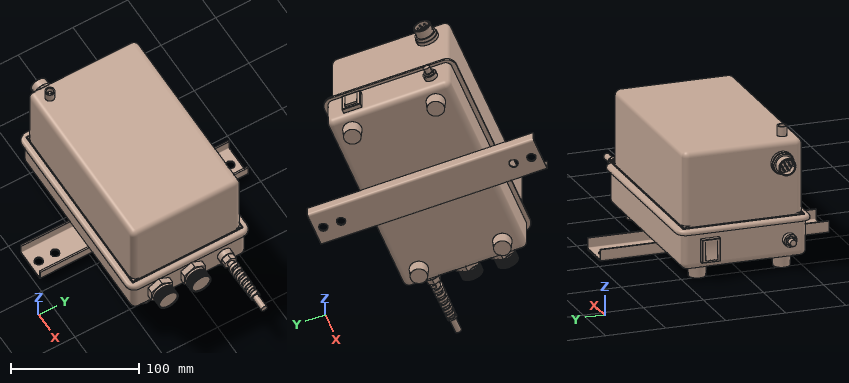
import cadquery as cq
import math

BOTTOM_Z = 10.0
BASE_LENGTH = 166.4
BASE_WIDTH = 103.5
FLANGE_LENGTH = 171.0
FLANGE_WIDTH = 111.0
FLANGE_CORNER = 8.0
FLANGE_Z = 39.8
FLANGE_TOP_Z = 43.4
FLANGE_ROUND = 2.4
CAP_LENGTH = 159.0
CAP_WIDTH = 99.3
CAP_TOP_Z = 106.5
WALL_CORNER = 5.0
SEAT_MARGIN = 0.7
SEAT_TOP_Z = 44.0
FLARE_TOP_Z = 45.3

FOOT_X = 70.0
FOOT_Y = 35.0
FOOT_TOP_DIAMETER = 15.2
FOOT_BOTTOM_DIAMETER = 13.7

SOCKET_X = -66.8
SOCKET_Y = -36.7
SOCKET_TOP_Z = 114.5
SOCKET_DIAMETER = 7.8
SOCKET_BORE = 5.7
SOCKET_DEPTH = 4.7
CONTACT_DIAMETER = 2.4
CONTACT_LENGTH = 2.8

PLUG_Y = -32.0
PLUG_Z = 88.6
PLUG_END_X = -92.2
COLLAR_END_X = -84.8
RING_END_X = -82.2
RING_DIAMETER = 18.2
COLLAR_DIAMETER = 16.8
SHELL_DIAMETER = 14.2
SHELL_BORE = 11.8
SHELL_DEPTH = 5.7
SHELL_CHAMFER = 0.5
KEY_WIDTH = 1.2
KEY_DEPTH = 1.7
PIN_COUNT = 6
PIN_CIRCLE_RADIUS = 3.5
PIN_DIAMETER = 1.2
PIN_LENGTH = 4.7

PORT_Z = 25.4

JACK_Y = -36.5
JACK_END_X = -93.4
JACK_NUT_X = -88.6
JACK_DISC_X = -87.0
JACK_DISC_DIAMETER = 10.7
JACK_NUT_RADIUS = 4.3
JACK_TIP_DIAMETER = 5.5

SWITCH_Y = 29.5
BEZEL_WIDTH = 15.2
BEZEL_HEIGHT = 19.2
BEZEL_X = -87.0
BEZEL_CHAMFER = 0.5
ROCKER_WIDTH = 10.0
ROCKER_HEIGHT = 14.7
ROCKER_RISE = 1.7
ROCKER_SAG = 0.7

THREAD_PORT_Y = (1.5, -28.5)
NUT_END_X = 88.5
NUT_RADIUS = 11.1
THREAD_END_X = 98.4
THREAD_DIAMETER = 17.5
THREAD_DEPTH = 0.7
THREAD_GROOVES = 8
THREAD_COLLAR = 2.0

CABLE_Y = 31.3
GLAND_DISC_DIAMETER = 12.3
GLAND_NUT_END_X = 93.4
GLAND_NUT_RADIUS = 6.0
CABLE_END_X = 143.6
CABLE_DIAMETER = 5.5
RELIEF_CORE_DIAMETER = 6.2
RELIEF_START_RADIUS = 4.7
RELIEF_END_RADIUS = 4.0
RELIEF_PITCH = 5.0
RELIEF_TURNS = 7
COIL_WIDTH = 2.5
COIL_OVERLAP = 0.5
RELIEF_RING_X = 129.2
RELIEF_RING_END_X = 130.5

RAIL_X = -0.2
RAIL_LENGTH = 190.0
RAIL_WIDTH = 30.0
RAIL_THICKNESS = 1.5
RAIL_BEND = 2.1
RAIL_HOLE_DIAMETER = 7.0
RAIL_HOLE_X = 0.0
RAIL_HOLE_Y = (72.5, 87.5)

HALF_BASE = BASE_LENGTH / 2
HALF_CAP = CAP_LENGTH / 2


def block(length, width, bottom, top):
    """Box centred on the Z axis between two heights."""
    box = cq.Workplane("XY").workplane(offset=bottom)
    return box.rect(length, width).extrude(top - bottom)


def along_x(x, y, z):
    """Sketch plane at a point, facing +X, with local x along +Y and local y along +Z."""
    return cq.Workplane("YZ", origin=(x, y, z))


def rod(start_x, end_x, y, z, diameter):
    """Cylinder along X."""
    return along_x(start_x, y, z).circle(diameter / 2).extrude(end_x - start_x)


def hexagon(start_x, end_x, y, z, radius):
    """Hexagonal prism along X with corners pointing up and down."""
    corners = [
        (radius * math.sin(k * math.pi / 3), radius * math.cos(k * math.pi / 3))
        for k in range(6)
    ]
    return along_x(start_x, y, z).polyline(corners).close().extrude(end_x - start_x)


def make_enclosure():
    base = block(BASE_LENGTH, BASE_WIDTH, BOTTOM_Z, FLANGE_Z)
    base = base.edges("|Z or <Z").fillet(WALL_CORNER)
    flange = block(FLANGE_LENGTH, FLANGE_WIDTH, FLANGE_Z, FLANGE_TOP_Z)
    flange = flange.edges("|Z").fillet(FLANGE_CORNER).faces(">Z").edges().fillet(FLANGE_ROUND)
    seat_length = CAP_LENGTH + 2 * SEAT_MARGIN
    seat_width = CAP_WIDTH + 2 * SEAT_MARGIN
    seat = block(seat_length, seat_width, FLANGE_Z, SEAT_TOP_Z)
    cap = block(CAP_LENGTH, CAP_WIDTH, FLANGE_Z, CAP_TOP_Z)
    cap = cap.edges("|Z or >Z").fillet(WALL_CORNER)
    return base.union(flange).union(seat).union(cap).union(make_corner_flares())


def make_corner_flares():
    """Cones that widen the cap's rounded corners to square ones at the seat."""
    flares = cq.Workplane("XY").workplane(offset=SEAT_TOP_Z)
    flares = flares.rect(CAP_LENGTH - 2 * WALL_CORNER, CAP_WIDTH - 2 * WALL_CORNER, forConstruction=True)
    square_reach = WALL_CORNER * math.sqrt(2)
    height = FLARE_TOP_Z - SEAT_TOP_Z
    taper = math.degrees(math.atan((square_reach - WALL_CORNER) / height))
    flares = flares.vertices().circle(square_reach).extrude(height, taper=taper)
    return flares.intersect(block(CAP_LENGTH, CAP_WIDTH, SEAT_TOP_Z, FLARE_TOP_Z))


def make_feet():
    feet = cq.Workplane("XY").workplane(offset=BOTTOM_Z)
    feet = feet.rect(2 * FOOT_X, 2 * FOOT_Y, forConstruction=True).vertices()
    taper = math.degrees(math.atan((FOOT_TOP_DIAMETER - FOOT_BOTTOM_DIAMETER) / 2 / BOTTOM_Z))
    return feet.circle(FOOT_TOP_DIAMETER / 2).extrude(-BOTTOM_Z, taper=taper)


def make_antenna_socket():
    socket = cq.Workplane("XY", origin=(SOCKET_X, SOCKET_Y, CAP_TOP_Z))
    socket = socket.circle(SOCKET_DIAMETER / 2).extrude(SOCKET_TOP_Z - CAP_TOP_Z)
    socket = socket.faces(">Z").workplane().hole(SOCKET_BORE, SOCKET_DEPTH)
    contact = cq.Workplane("XY", origin=(SOCKET_X, SOCKET_Y, SOCKET_TOP_Z - SOCKET_DEPTH))
    return socket.union(contact.circle(CONTACT_DIAMETER / 2).extrude(CONTACT_LENGTH))


def make_plug():
    ring = rod(RING_END_X, -HALF_CAP, PLUG_Y, PLUG_Z, RING_DIAMETER)
    collar = rod(COLLAR_END_X, RING_END_X, PLUG_Y, PLUG_Z, COLLAR_DIAMETER)
    shell = rod(PLUG_END_X, COLLAR_END_X, PLUG_Y, PLUG_Z, SHELL_DIAMETER)
    shell = shell.faces("<X").chamfer(SHELL_CHAMFER)
    floor_x = PLUG_END_X + SHELL_DEPTH
    shell = shell.cut(rod(PLUG_END_X, floor_x, PLUG_Y, PLUG_Z, SHELL_BORE))
    key = along_x(PLUG_END_X, PLUG_Y - SHELL_DIAMETER / 2, PLUG_Z)
    shell = shell.cut(key.rect(2 * KEY_DEPTH, KEY_WIDTH).extrude(SHELL_DEPTH))
    pins = along_x(floor_x, PLUG_Y, PLUG_Z).polarArray(PIN_CIRCLE_RADIUS, 0, 360, PIN_COUNT)
    pins = pins.circle(PIN_DIAMETER / 2).extrude(-PIN_LENGTH)
    centre_pin = rod(floor_x - PIN_LENGTH, floor_x, PLUG_Y, PLUG_Z, PIN_DIAMETER)
    return ring.union(collar).union(shell).union(pins).union(centre_pin)


def make_jack():
    disc = rod(JACK_DISC_X, -HALF_BASE, JACK_Y, PORT_Z, JACK_DISC_DIAMETER)
    nut = hexagon(JACK_NUT_X, JACK_DISC_X, JACK_Y, PORT_Z, JACK_NUT_RADIUS)
    tip = rod(JACK_END_X, JACK_NUT_X, JACK_Y, PORT_Z, JACK_TIP_DIAMETER)
    return disc.union(nut).union(tip)


def make_switch():
    bezel = along_x(BEZEL_X, SWITCH_Y, PORT_Z)
    bezel = bezel.rect(BEZEL_WIDTH, BEZEL_HEIGHT).extrude(-HALF_BASE - BEZEL_X)
    bezel = bezel.faces("<X").chamfer(BEZEL_CHAMFER)
    top = PORT_Z + ROCKER_HEIGHT / 2
    bottom = PORT_Z - ROCKER_HEIGHT / 2
    middle = (BEZEL_X - ROCKER_RISE / 2 + ROCKER_SAG, PORT_Z)
    profile = cq.Workplane("XZ", origin=(0, SWITCH_Y, 0))
    profile = profile.moveTo(BEZEL_X, top).threePointArc(middle, (BEZEL_X - ROCKER_RISE, bottom))
    profile = profile.lineTo(-HALF_BASE, bottom).lineTo(-HALF_BASE, top).close()
    rocker = profile.extrude(ROCKER_WIDTH / 2, both=True)
    opening = along_x(BEZEL_X, SWITCH_Y, PORT_Z)
    opening = opening.rect(ROCKER_WIDTH, ROCKER_HEIGHT).extrude(-HALF_BASE - BEZEL_X)
    return bezel.cut(opening).union(rocker)


def make_threaded_port(y):
    nut = hexagon(HALF_BASE, NUT_END_X, y, PORT_Z, NUT_RADIUS)
    crest = THREAD_DIAMETER / 2
    first_groove = NUT_END_X + THREAD_COLLAR
    pitch = (THREAD_END_X - first_groove) / THREAD_GROOVES
    profile = cq.Workplane("XY", origin=(0, y, PORT_Z)).moveTo(NUT_END_X, 0).lineTo(NUT_END_X, crest)
    for k in range(THREAD_GROOVES):
        groove_x = first_groove + k * pitch
        profile = profile.lineTo(groove_x, crest)
        profile = profile.lineTo(groove_x + pitch / 2, crest - THREAD_DEPTH)
    profile = profile.lineTo(THREAD_END_X, crest).lineTo(THREAD_END_X, 0).close()
    thread = profile.revolve(360, (0, 0, 0), (1, 0, 0))
    return nut.union(thread)


def make_bend_relief():
    """Tapering spiral band on a round core, closed by a plain ring."""
    core = rod(GLAND_NUT_END_X, RELIEF_RING_END_X, CABLE_Y, PORT_Z, RELIEF_CORE_DIAMETER)
    ring = rod(RELIEF_RING_X, RELIEF_RING_END_X, CABLE_Y, PORT_Z, 2 * RELIEF_END_RADIUS)
    inner_radius = RELIEF_CORE_DIAMETER / 2 - COIL_OVERLAP
    path = cq.Wire.makeHelix(RELIEF_PITCH, RELIEF_PITCH * RELIEF_TURNS, inner_radius)
    band = cq.Workplane("XZ").moveTo((inner_radius + RELIEF_START_RADIUS) / 2, 0)
    band = band.rect(RELIEF_START_RADIUS - inner_radius, COIL_WIDTH)
    coil = band.sweep(cq.Workplane(path), isFrenet=True).rotate((0, 0, 0), (0, 1, 0), 90)
    coil = coil.translate((GLAND_NUT_END_X + COIL_WIDTH, CABLE_Y, PORT_Z))
    cone = along_x(GLAND_NUT_END_X, CABLE_Y, PORT_Z).circle(RELIEF_START_RADIUS)
    cone = cone.workplane(offset=RELIEF_RING_X - GLAND_NUT_END_X).circle(RELIEF_END_RADIUS).loft()
    return coil.intersect(cone).union(core).union(ring)


def make_cable():
    disc = rod(HALF_BASE, NUT_END_X, CABLE_Y, PORT_Z, GLAND_DISC_DIAMETER)
    nut = hexagon(NUT_END_X, GLAND_NUT_END_X, CABLE_Y, PORT_Z, GLAND_NUT_RADIUS)
    cable = rod(RELIEF_RING_END_X, CABLE_END_X, CABLE_Y, PORT_Z, CABLE_DIAMETER)
    return make_bend_relief().union(nut).union(disc).union(cable)


def make_housing():
    body = make_enclosure().union(make_feet()).union(make_antenna_socket())
    body = body.union(make_plug()).union(make_jack()).union(make_switch())
    for y in THREAD_PORT_Y:
        body = body.union(make_threaded_port(y))
    return body.union(make_cable())


def make_rail():
    rail = block(RAIL_WIDTH, RAIL_LENGTH, 0, BOTTOM_Z)
    rail = rail.edges("|Y and <Z").fillet(RAIL_BEND)
    channel = block(RAIL_WIDTH - 2 * RAIL_THICKNESS, RAIL_LENGTH, RAIL_THICKNESS, BOTTOM_Z)
    channel = channel.edges("|Y and <Z").fillet(RAIL_BEND - RAIL_THICKNESS)
    rail = rail.cut(channel).translate((RAIL_X, 0, 0))
    spots = [(RAIL_HOLE_X, side * y) for side in (-1, 1) for y in RAIL_HOLE_Y]
    holes = cq.Workplane("XY").pushPoints(spots).circle(RAIL_HOLE_DIAMETER / 2).extrude(RAIL_THICKNESS)
    return rail.cut(holes)


housing = make_housing()
rail = make_rail()
result = cq.Compound.makeCompound([housing.solids().val(), rail.solids().val()])